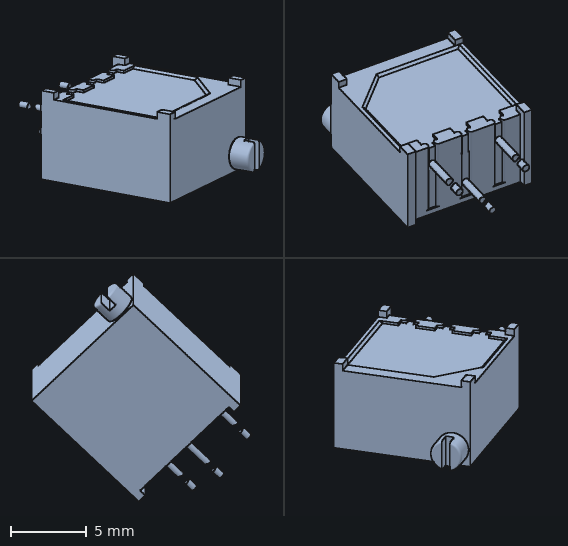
import cadquery as cq
import math


overall_length = 14.61

housing_length = 10.04
housing_width = 9.55
housing_height = 6.17
post_length = 1.01
post_width = 0.63
standoff = 0.48
face_setback = 0.48
deck_z = housing_height - standoff

pocket_depth = 0.18
pocket_taper = 49.0
pocket_margin = 0.3
pocket_corner_cut = 2.59
comb_x = 1.55
pocket_floor_z = deck_z - pocket_depth
pocket_max_x = housing_length - post_length
pocket_max_y = housing_width / 2 - pocket_margin

lip_depth = 0.51
lip_radius = 0.2
notch_width = 0.53
tongue_width = 0.48
gap_bottom_z = 4.02
inner_notch_width = 1.23
slot_depth = 0.12
slot_bottom_z = 0.44
slot_floor_x = face_setback + slot_depth
lip_back_x = face_setback + lip_depth

lead_pitch = 2.54
lead_diameter = 0.51
lead_tip_x = -3.0
outer_lead_z = 4.13
middle_lead_z = outer_lead_z - lead_pitch
lead_positions = [(-lead_pitch, outer_lead_z), (0, middle_lead_z), (lead_pitch, outer_lead_z)]
break_x = -2.0
break_radius = 0.35

screw_end_x = overall_length + lead_tip_x
screw_diameter = 2.19
screw_edge_radius = 0.16
screw_y = 3.61
screw_z = 1.27
driver_slot_width = 0.57
driver_slot_depth = 0.8


def box(x_range, y_range, z_range):
    """Box between the given limits."""
    (x0, x1), (y0, y1), (z0, z1) = x_range, y_range, z_range
    return cq.Workplane("XY").box(x1 - x0, y1 - y0, z1 - z0, centered=False).translate((x0, y0, z0))


def x_cylinder(x0, x1, y, z, diameter):
    """Cylinder along X."""
    return cq.Workplane("YZ", origin=(x0, y, z)).circle(diameter / 2).extrude(x1 - x0)


def block():
    """Housing block with a post at each corner."""
    half_width = housing_width / 2
    body = box((0, housing_length), (-half_width, half_width), (0, deck_z))
    inner_y = half_width - post_width
    body = body.cut(box((0, face_setback), (-inner_y, inner_y), (0, deck_z)))
    for x0 in (0, housing_length - post_length):
        for y0 in (-half_width, inner_y):
            body = body.union(box((x0, x0 + post_length), (y0, y0 + post_width), (0, housing_height)))
    return body


def pocket():
    """Pocket cutter: sloping walls on three sides and the cut corner, upright wall at the comb.

    The sloped shape runs on to X = 0 and is then trimmed at the comb.
    """
    outline = [
        (0, -pocket_max_y),
        (pocket_max_x, -pocket_max_y),
        (pocket_max_x, pocket_max_y - pocket_corner_cut),
        (pocket_max_x - pocket_corner_cut, pocket_max_y),
        (0, pocket_max_y),
    ]
    sloped = (
        cq.Workplane("XY", origin=(0, 0, deck_z))
        .polyline(outline)
        .close()
        .extrude(-pocket_depth, taper=pocket_taper)
    )
    beyond_comb = box(
        (comb_x, pocket_max_x), (-pocket_max_y, pocket_max_y), (pocket_floor_z, deck_z)
    )
    return sloped.intersect(beyond_comb)


def lip_notch(y, z0, z1):
    """Notch cutter through the tooth lips, flared at both ends by the rounding of the lip edges."""
    neck = notch_width / 2
    mouth = neck + lip_radius
    bend = lip_radius * math.sqrt(0.5)
    front_centre_x = face_setback + lip_radius
    back_centre_x = lip_back_x - lip_radius
    return (
        cq.Workplane("XY", origin=(0, y, z0))
        .moveTo(face_setback, -mouth)
        .threePointArc((front_centre_x - bend, bend - mouth), (front_centre_x, -neck))
        .lineTo(back_centre_x, -neck)
        .threePointArc((back_centre_x + bend, bend - mouth), (lip_back_x, -mouth))
        .lineTo(lip_back_x, mouth)
        .threePointArc((back_centre_x + bend, mouth - bend), (back_centre_x, neck))
        .lineTo(front_centre_x, neck)
        .threePointArc((front_centre_x - bend, mouth - bend), (face_setback, mouth))
        .close()
        .extrude(z1 - z0)
    )


def lead_slot(y):
    """Cutter for one lead slot: shallow slot down the face, and the notch into the pocket.

    The notch leaves a tongue level with the pocket floor, with a narrow gap along each side of it.
    """
    reach = inner_notch_width / 2
    y_range = (y - reach, y + reach)
    shallow = lip_notch(y, slot_bottom_z, deck_z).intersect(
        box((face_setback, slot_floor_x), y_range, (slot_bottom_z, deck_z))
    )
    inner = box((lip_back_x, comb_x), y_range, (pocket_floor_z, deck_z))
    tongue = box(
        (slot_floor_x, lip_back_x),
        (y - tongue_width / 2, y + tongue_width / 2),
        (gap_bottom_z, pocket_floor_z),
    )
    notch = lip_notch(y, gap_bottom_z, deck_z).cut(tongue)
    return shallow.union(notch).union(inner)


def break_cylinder(y, z):
    """Cylinder across a lead, its axis diagonal in Y and Z, leaving hollow ends on both sides."""
    length = 2 * lead_diameter
    axis = cq.Vector(0, 1, 1).normalized()
    start = cq.Vector(break_x, y, z) - axis * (length / 2)
    return cq.Workplane(cq.Solid.makeCylinder(break_radius, length, start, axis))


def lead_stub(y, z):
    """Lead from the slot floor to the break."""
    return x_cylinder(break_x, slot_floor_x, y, z, lead_diameter).cut(break_cylinder(y, z))


def lead_tip(y, z):
    """Separate lead end beyond the break."""
    return x_cylinder(lead_tip_x, break_x, y, z, lead_diameter).cut(break_cylinder(y, z))


def screw_head():
    """Slotted screw head with rounded edges."""
    head = x_cylinder(housing_length, screw_end_x, screw_y, screw_z, screw_diameter)
    head = head.faces("<X or >X").edges().fillet(screw_edge_radius)
    half_slot = driver_slot_width / 2
    half_head = screw_diameter / 2
    return head.cut(
        box(
            (screw_end_x - driver_slot_depth, screw_end_x),
            (screw_y - half_slot, screw_y + half_slot),
            (screw_z - half_head, screw_z + half_head),
        )
    )


housing = block().cut(pocket())
for lead_y, lead_z in lead_positions:
    housing = housing.cut(lead_slot(lead_y))
    housing = housing.union(lead_stub(lead_y, lead_z))
housing = housing.union(screw_head())

tips = [lead_tip(lead_y, lead_z).solids().val() for lead_y, lead_z in lead_positions]

result = cq.Compound.makeCompound([housing.solids().val(), *tips])